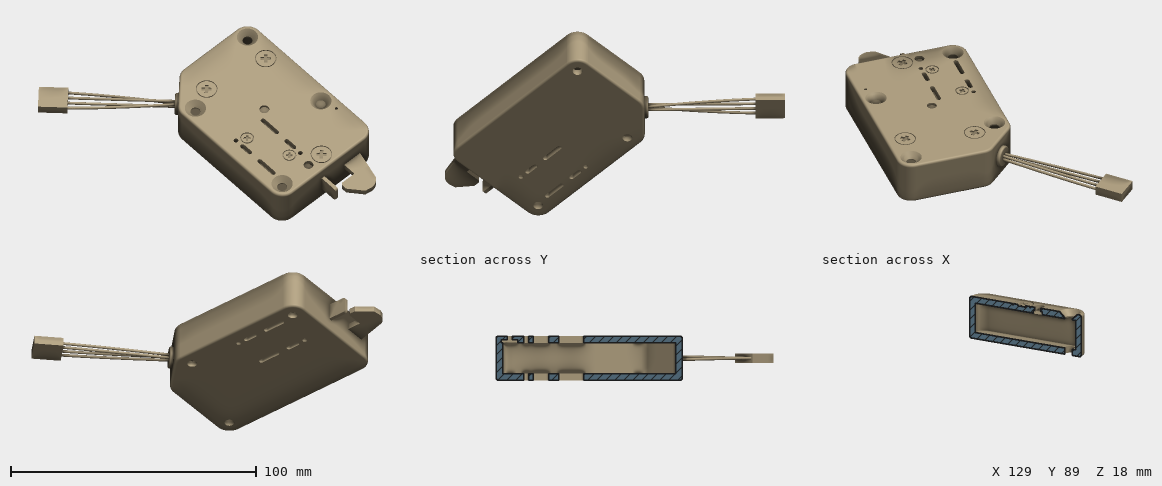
import cadquery as cq
import math

overall_length = 129.0
hook_reach = 16.0

housing_length = 76.0
housing_width = 52.0
housing_height = 18.0
corner_radius = 6.0
corner_cut = 13.9
edge_round = 1.0
wall_thickness = 2.8

right_face = housing_length / 2
front_face = -housing_width / 2
inner_right_face = right_face - wall_thickness
mid_height = housing_height / 2

mount_bore = 4.0
mount_head = 8.6
mount_x = 32.0
mount_y = 20.0
mount_points = [(-mount_x, mount_y), (-20.0, -mount_y), (mount_x, -mount_y)]
blind_mount_point = (12.0, mount_y)
countersink_depth = (mount_head - mount_bore) / 2

cover_screw_points = [(-19.0, 18.0), (-24.0, -10.0), (32.0, 1.8)]
cover_screw_head = 8.0
cover_screw_seat = 8.8
cover_cross_length = 4.1
cover_cross_width = 1.4

switch_x = 14.5
switch_y = -11.5
slot_width = 1.9
slot_row_offset = 7.5
long_slot_length = 10.0
short_slot_length = 6.2
long_slot_offset = 7.1
short_slot_offset = 5.2
end_hole_offset = 11.2
switch_screw_offset = (9.0, 3.4)
switch_screw_head = 4.6
switch_screw_seat = 5.7
switch_cross_length = 2.7
switch_cross_width = 0.9

groove_depth = 0.5
cross_depth = 0.6

access_diameter = 4.0
shallow_access_point = (-0.5, 0.3)
shallow_access_depth = 1.2
deep_access_point = (32.4, -5.7)
deep_access_depth = 1.5
access_pocket_length = 6.5
access_pocket_depth = 1.0
pin_hole_point = (19.1, 22.0)
pin_hole_diameter = 1.3
pin_hole_depth = 2.6

hook_thickness = 2.6
hook_root_top = 18.5
hook_throat_top = 8.9
hook_throat_depth = 6.0
hook_tip_bottom = 1.3
hook_tip_flat = 3.4
hook_tip_chamfer = 0.8
hook_nose_top = (-2.8, 14.2)
hook_nose_middle = (-0.9, 12.4)
hook_nose_bottom = (0.0, 9.5)
hook_heel = (-0.5, 6.3)

lever_reach = 8.3
lever_thickness = 1.5
lever_height = 7.2
lever_y = -2.8
lever_round = 1.2

grommet_diameter = 9.0
grommet_length = 1.5
grommet_round = 0.6
wire_diameter = 1.2
wire_bundle_offset = 0.8
wire_pitch = 2.6
wire_count = 4
wire_start_flare = 1.4
wire_end_flare = 0.4
connector_length = 12.0
connector_width = 10.0
connector_height = 4.0


def top_cut(points, diameter, depth):
    """Round holes sunk into the top face."""
    return (
        cq.Workplane("XY", origin=(0, 0, housing_height))
        .pushPoints(points)
        .circle(diameter / 2)
        .extrude(-depth)
    )


def screw_outline(point, head, seat, cross_length, cross_width):
    """Ring groove around a flush screw head and the diagonal cross recess in it."""
    top = cq.Workplane("XY", origin=(*point, housing_height))
    groove = top.circle(seat / 2).circle(head / 2).extrude(-groove_depth)
    bar = top.rect(cross_length, cross_width).extrude(-cross_depth)
    cut = groove
    for angle in (45, -45):
        cut = cut.union(bar.rotate((*point, 0), (*point, 1), angle))
    return cut


def countersink(point):
    return (
        cq.Workplane("XY", origin=(*point, housing_height))
        .circle(mount_head / 2)
        .workplane(offset=-countersink_depth)
        .circle(mount_bore / 2)
        .loft(ruled=True)
    )


def switch_slots():
    """One row of through slots, with the short slot and round hole at its right-hand end."""
    row = cq.Workplane("XY")
    features = [
        (-long_slot_offset, long_slot_length),
        (short_slot_offset, short_slot_length),
    ]
    cut = row.center(switch_x + end_hole_offset, switch_y + slot_row_offset)
    cut = cut.circle(slot_width / 2).extrude(housing_height)
    for offset, length in features:
        slot = row.center(switch_x + offset, switch_y + slot_row_offset)
        cut = cut.union(slot.slot2D(length, slot_width).extrude(housing_height))
    return cut


def deep_access_hole():
    """Blind hole that widens into a pocket within the wall thickness."""
    hole = top_cut([deep_access_point], access_diameter, deep_access_depth)
    pocket = (
        cq.Workplane("XY", origin=(*deep_access_point, housing_height - deep_access_depth))
        .rect(access_pocket_length, access_diameter)
        .extrude(-access_pocket_depth)
    )
    return hole.union(pocket)


def housing_block(inset):
    """Housing outline with one cut corner, drawn in by the inset on every side."""
    side = right_face - inset
    back = -front_face - inset
    cut = corner_cut - (2 - math.sqrt(2)) * inset
    return (
        cq.Workplane("XY", origin=(0, 0, inset))
        .moveTo(-side, back)
        .lineTo(side, back)
        .lineTo(side, -back)
        .lineTo(-side + cut, -back)
        .lineTo(-side, -back + cut)
        .close()
        .extrude(housing_height - 2 * inset)
        .edges("|Z")
        .fillet(corner_radius - inset)
    )


def make_housing(hook, lever):
    """Hollow housing with openings that fit the hook and the lever."""
    body = housing_block(0).faces("<Z or >Z").edges().fillet(edge_round)
    body = body.cut(housing_block(wall_thickness)).cut(hook).cut(lever)
    body = body.cut(top_cut(mount_points, mount_bore, housing_height))
    for point in [*mount_points, blind_mount_point]:
        body = body.cut(countersink(point))

    for point in cover_screw_points:
        body = body.cut(
            screw_outline(point, cover_screw_head, cover_screw_seat, cover_cross_length, cover_cross_width)
        )

    switch_screw_point = (switch_x + switch_screw_offset[0], switch_y + switch_screw_offset[1])
    switch_screw = screw_outline(
        switch_screw_point, switch_screw_head, switch_screw_seat, switch_cross_length, switch_cross_width
    )
    half_group = switch_slots().union(switch_screw)
    for angle in (0, 180):
        body = body.cut(half_group.rotate((switch_x, switch_y, 0), (switch_x, switch_y, 1), angle))

    body = body.cut(top_cut([shallow_access_point], access_diameter, shallow_access_depth))
    body = body.cut(deep_access_hole())
    return body.cut(top_cut([pin_hole_point], pin_hole_diameter, pin_hole_depth))


def make_hook():
    throat = right_face + hook_throat_depth
    tip = right_face + hook_reach

    def from_tip(point):
        return (tip + point[0], point[1])

    return (
        cq.Workplane("XY", origin=(0, 0, mid_height - hook_thickness / 2))
        .moveTo(inner_right_face, hook_root_top)
        .lineTo(*from_tip(hook_nose_top))
        .threePointArc(from_tip(hook_nose_middle), from_tip(hook_nose_bottom))
        .lineTo(*from_tip(hook_heel))
        .lineTo(throat + hook_tip_flat, hook_tip_bottom)
        .lineTo(throat + hook_tip_chamfer, hook_tip_bottom)
        .lineTo(throat, hook_tip_bottom + hook_tip_chamfer)
        .lineTo(throat, hook_throat_top)
        .lineTo(inner_right_face, hook_throat_top)
        .close()
        .extrude(hook_thickness)
    )


def make_lever():
    return (
        cq.Workplane("XY")
        .box(lever_reach + wall_thickness, lever_thickness, lever_height, centered=(False, True, True))
        .translate((inner_right_face, lever_y, mid_height))
        .edges("|Y and >X")
        .fillet(lever_round)
    )


def make_wire(start, end):
    """Wire bowed outward: steeper than its chord at the grommet, flatter at the connector."""
    chord = end - start
    start_direction = cq.Vector(chord.x, chord.y * wire_start_flare, chord.z * wire_start_flare)
    end_direction = cq.Vector(chord.x, chord.y * wire_end_flare, chord.z * wire_end_flare)
    path = cq.Edge.makeSpline([start, end], tangents=[start_direction, end_direction])
    section = cq.Workplane(cq.Plane(origin=start, normal=start_direction)).circle(wire_diameter / 2)
    return section.sweep(cq.Workplane(obj=cq.Wire.assembleEdges([path])))


def make_cable():
    """Grommet, four wires and connector, built along +X and then turned onto the cut corner."""
    cut_face_x = -right_face + corner_cut / 2
    cut_face_y = front_face + corner_cut / 2
    connector_corner = overall_length - hook_reach - right_face
    connector_end = (connector_corner + cut_face_x) * math.sqrt(2) - connector_width / 2
    connector_start = connector_end - connector_length

    cable = (
        cq.Workplane("YZ")
        .circle(grommet_diameter / 2)
        .extrude(grommet_length)
        .faces(">X")
        .edges()
        .fillet(grommet_round)
    )
    connector = cq.Workplane("XY").box(
        connector_length, connector_width, connector_height, centered=(False, True, True)
    )
    cable = cable.union(connector.translate((connector_start, 0, 0)))
    for index in range(wire_count):
        side = 1 if index >= wire_count / 2 else -1
        level = 1 if index % 2 else -1
        start = cq.Vector(grommet_length / 2, side * wire_bundle_offset, level * wire_bundle_offset)
        end = cq.Vector(connector_start + wire_diameter, (index - (wire_count - 1) / 2) * wire_pitch, 0)
        cable = cable.union(make_wire(start, end))

    return cable.rotate((0, 0, 0), (0, 0, 1), -135).translate((cut_face_x, cut_face_y, mid_height))


hook = make_hook()
lever = make_lever()
housing = make_housing(hook, lever)
cable = make_cable()

result = cq.Compound.makeCompound([housing.val(), hook.val(), lever.val(), cable.val()])